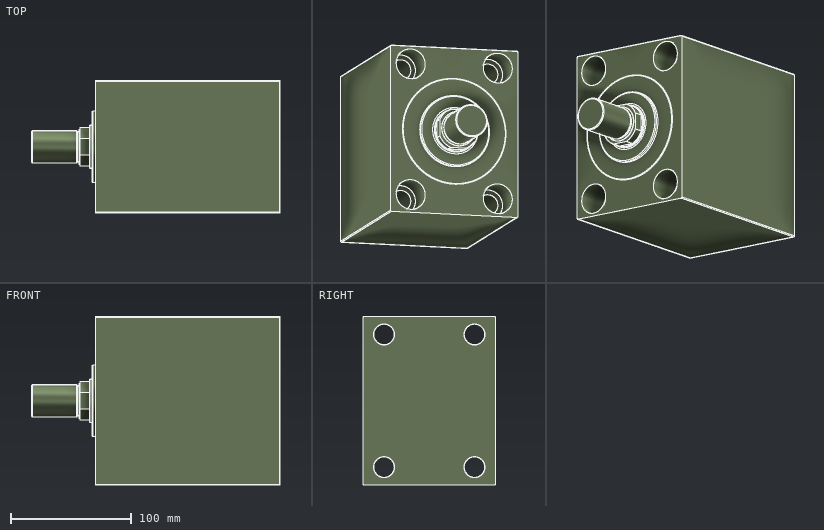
import cadquery as cq


housing_length = 153.0
housing_width = 110.0
housing_height = 140.0
housing_edge_chamfer = 0.8
housing_face_x = 53.0

bolt_spacing_y = 75.0
bolt_spacing_z = 110.0
bolt_hole_diameter = 17.0
counterbore_diameter = 25.0
counterbore_depth = 30.0

gland_diameter = 89.0
gland_depth = 30.0
gland_chamfer = 0.5
collar_diameter = 59.5
collar_height = 3.0
collar_chamfer = 0.9
collar_face_x = housing_face_x - collar_height
gland_back_x = housing_face_x + gland_depth

wiper_outer_diameter = 39.0
wiper_depth = 5.0

rod_diameter = 36.0
rod_shoulder_x = 48.0
rod_shoulder_chamfer = 0.5
thread_diameter = 27.0
thread_length = 38.0
thread_chamfer = 0.7
undercut_diameter = 25.0
pilot_start_x = 39.5
pilot_diameter = 29.0
wrench_start_x = 40.0
wrench_diameter = 35.0
wrench_across_flats = 32.2


def cylinder_along_x(diameter, start_x, end_x):
    """Solid cylinder on the rod axis between two X positions."""
    return cq.Workplane("YZ", origin=(start_x, 0, 0)).circle(diameter / 2).extrude(end_x - start_x)


def make_housing():
    """Block with a blind recess for the gland and four counterbored through holes."""
    block = (
        cq.Workplane("YZ", origin=(housing_face_x, 0, 0))
        .rect(housing_width, housing_height)
        .extrude(housing_length)
        .edges("|X")
        .chamfer(housing_edge_chamfer)
    )
    block = block.cut(cylinder_along_x(gland_diameter, housing_face_x, gland_back_x))
    bolt_pattern = cq.Workplane("YZ", origin=(housing_face_x, 0, 0)).rect(
        bolt_spacing_y, bolt_spacing_z, forConstruction=True
    ).vertices()
    bolt_holes = bolt_pattern.circle(bolt_hole_diameter / 2).extrude(housing_length)
    counterbores = bolt_pattern.circle(counterbore_diameter / 2).extrude(counterbore_depth)
    return block.cut(bolt_holes).cut(counterbores)


def make_gland():
    """Disc with a raised collar, bored for the rod and recessed for the wiper."""
    disc = cylinder_along_x(gland_diameter, housing_face_x, gland_back_x)
    disc = disc.faces("<X").chamfer(gland_chamfer)
    collar = cylinder_along_x(collar_diameter, collar_face_x, housing_face_x)
    collar = collar.faces("<X").chamfer(collar_chamfer)
    rod_bore = cylinder_along_x(rod_diameter, collar_face_x, gland_back_x)
    wiper_recess = cylinder_along_x(wiper_outer_diameter, collar_face_x, collar_face_x + wiper_depth)
    return disc.union(collar).cut(rod_bore).cut(wiper_recess)


def make_wiper():
    """Plain ring between the rod and the gland."""
    wiper_back_x = collar_face_x + wiper_depth
    ring = cylinder_along_x(wiper_outer_diameter, collar_face_x, wiper_back_x)
    return ring.cut(cylinder_along_x(rod_diameter, collar_face_x, wiper_back_x))


def make_wrench_section():
    """Short round section with four flats, with a small pilot step in front of it."""
    pilot = cylinder_along_x(pilot_diameter, pilot_start_x, wrench_start_x)
    barrel = cylinder_along_x(wrench_diameter, wrench_start_x, rod_shoulder_x)
    square = (
        cq.Workplane("YZ", origin=(wrench_start_x, 0, 0))
        .rect(wrench_across_flats, wrench_across_flats)
        .extrude(rod_shoulder_x - wrench_start_x)
    )
    return barrel.intersect(square).union(pilot)


def make_rod():
    """Rod with a threaded end, a thread undercut, a pilot step and a wrench section."""
    thread = cylinder_along_x(thread_diameter, 0, thread_length).faces("<X or >X").chamfer(thread_chamfer)
    undercut = cylinder_along_x(undercut_diameter, thread_length, pilot_start_x)
    shaft = cylinder_along_x(rod_diameter, rod_shoulder_x, gland_back_x)
    shaft = shaft.faces("<X").chamfer(rod_shoulder_chamfer)
    return thread.union(undercut).union(make_wrench_section()).union(shaft)


housing = make_housing()
gland = make_gland()
wiper = make_wiper()
rod = make_rod()

result = cq.Compound.makeCompound([housing.val(), gland.val(), wiper.val(), rod.val()])